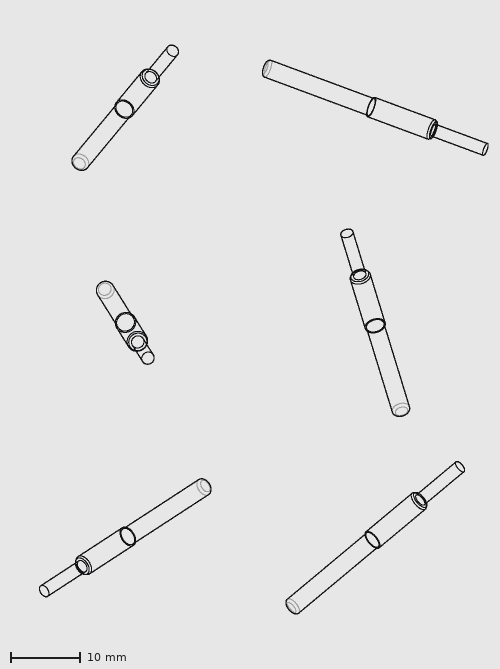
import cadquery as cq

total_length = 35.3
end_y = total_length / 2

tail_length = 8.33
collar_length = 10.0

tail_diameter = 1.85
collar_diameter = 3.0
barrel_diameter = 2.6

collar_chamfer_length = 0.32
collar_chamfer_depth = 0.18
front_fillet = 0.4

collar_rear_y = end_y - tail_length
collar_front_y = collar_rear_y - collar_length


def cylinder(diameter, front_y, rear_y):
    """Round section on the Y axis between two Y positions."""
    profile = cq.Workplane("XZ", origin=(0, rear_y, 0)).circle(diameter / 2)
    return profile.extrude(rear_y - front_y)


tail = cylinder(tail_diameter, collar_rear_y, end_y)
collar = cylinder(collar_diameter, collar_front_y, collar_rear_y)
collar = collar.edges(">Y").chamfer(collar_chamfer_length, collar_chamfer_depth)

barrel = cylinder(barrel_diameter, -end_y, collar_front_y).edges("<Y").fillet(front_fillet)

result = tail.union(collar).union(barrel)